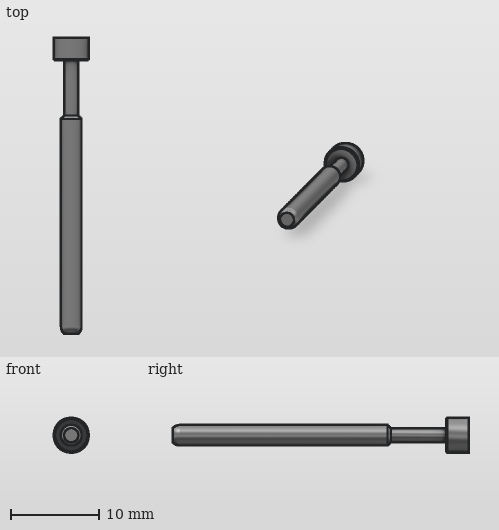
import cadquery as cq
import math

length = 33.6
head_radius = 4.0 / 2
head_length = 2.6
head_chamfer = 0.17
neck_radius = 1.6 / 2
body_radius = 2.4 / 2
body_length = 24.35
tip_radius = 1.6 / 2

tip_y = -length / 2
head_end_y = length / 2
head_seat_y = head_end_y - head_length
shoulder_y = tip_y + body_length
neck_start_y = shoulder_y + (body_radius - neck_radius)

nose_length = math.sqrt(body_radius**2 - tip_radius**2)
nose_y = tip_y + nose_length
nose_mid_angle = math.asin(nose_length / body_radius) / 2
nose_mid = (
    body_radius * math.cos(nose_mid_angle),
    nose_y - body_radius * math.sin(nose_mid_angle),
)

outline = (
    cq.Workplane("XY")
    .moveTo(0, tip_y)
    .lineTo(tip_radius, tip_y)
    .threePointArc(nose_mid, (body_radius, nose_y))
    .lineTo(body_radius, shoulder_y)
    .lineTo(neck_radius, neck_start_y)
    .lineTo(neck_radius, head_seat_y)
    .lineTo(head_radius - head_chamfer, head_seat_y)
    .lineTo(head_radius, head_seat_y + head_chamfer)
    .lineTo(head_radius, head_end_y)
    .lineTo(0, head_end_y)
    .close()
)

result = outline.revolve(360, (0, 0, 0), (0, 1, 0))